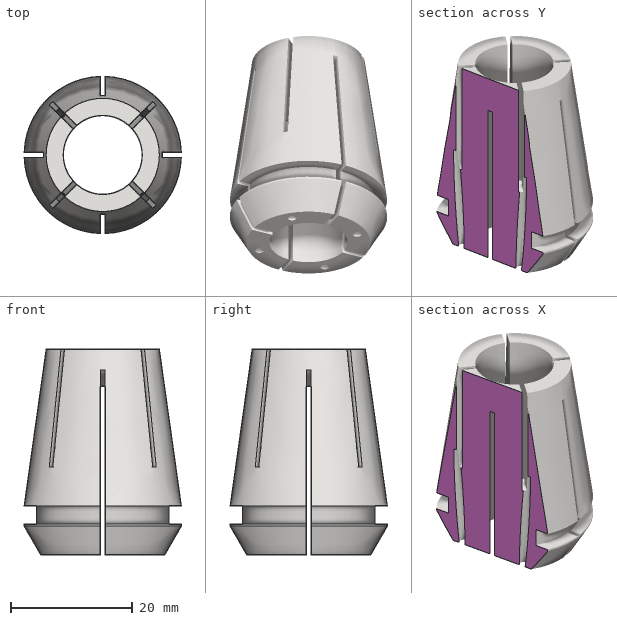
import cadquery as cq
import math

height = 34.0
outer_diameter = 25.98
bore_diameter = 13.0
flange_top = 5.05
lip_height = 0.3
flange_angle = 30.0
groove_diameter = 21.95
body_bottom = 8.1
body_angle = 8.0

slot_width = 0.8
saw_radius = 17.35
slot_count = 4
lower_slot_top = 30.53
lower_slot_tilt = 32.0
upper_slot_floor = 14.52
upper_slot_angle = 45.0

hole_diameter = 1.5
hole_radius_at_floor = 9.8
hole_lean = 5.0

clearance = 3.4

outer_radius = outer_diameter / 2
bore_radius = bore_diameter / 2
groove_radius = groove_diameter / 2


def body_radius(z):
    """Radius of the clamping cone at height z."""
    return outer_radius - (z - body_bottom) * math.tan(math.radians(body_angle))


def make_body():
    """Revolve the ring section: lower cone, lip, groove and clamping cone."""
    lip_bottom = flange_top - lip_height
    bottom_radius = outer_radius - lip_bottom * math.tan(math.radians(flange_angle))
    section = [
        (bore_radius, 0),
        (bottom_radius, 0),
        (outer_radius, lip_bottom),
        (outer_radius, flange_top),
        (groove_radius, flange_top),
        (groove_radius, body_bottom),
        (outer_radius, body_bottom),
        (body_radius(height), height),
        (bore_radius, height),
    ]
    return cq.Workplane("XZ").polyline(section).close().revolve(360, (0, 0), (0, 1))


def make_slot_cutter(center_r, center_z, direction):
    """Radial slab along +X, ended by the saw's arc and open upward (+1) or downward (-1)."""
    inner_r = bore_radius - clearance
    outer_r = outer_radius + clearance
    middle_r = (inner_r + outer_r) / 2
    open_z = height + clearance if direction > 0 else -clearance

    def on_arc(r):
        return (r, center_z - direction * math.sqrt(saw_radius**2 - (r - center_r) ** 2))

    return (
        cq.Workplane("XZ")
        .moveTo(inner_r, open_z)
        .lineTo(*on_arc(inner_r))
        .threePointArc(on_arc(middle_r), on_arc(outer_r))
        .lineTo(outer_r, open_z)
        .close()
        .extrude(slot_width / 2, both=True)
    )


def make_lower_slot():
    """Slot open at the bottom, its end sloping down toward the bore."""
    tilt = math.radians(lower_slot_tilt)
    center_r = body_radius(lower_slot_top) + saw_radius * math.sin(tilt)
    center_z = lower_slot_top - saw_radius * math.cos(tilt)
    return make_slot_cutter(center_r, center_z, -1)


def make_upper_slot():
    """Slot open at the top, its floor level at the clamping cone and rising toward the bore."""
    center_r = body_radius(upper_slot_floor)
    return make_slot_cutter(center_r, upper_slot_floor + saw_radius, 1)


def make_sloping_hole():
    """Round hole that leans toward the axis on its way down."""
    lean = math.radians(hole_lean)
    down = cq.Vector(-math.sin(lean), 0, -math.cos(lean))
    mouth = cq.Vector(hole_radius_at_floor, 0, upper_slot_floor)
    start = mouth - down * clearance
    length = upper_slot_floor / math.cos(lean) + 2 * clearance
    return cq.Workplane(cq.Solid.makeCylinder(hole_diameter / 2, length, start, down))


lower_slot = make_lower_slot()
upper_cut = make_upper_slot().union(make_sloping_hole())

result = make_body()
for index in range(slot_count):
    turn = index * 360 / slot_count
    result = result.cut(lower_slot.rotate((0, 0, 0), (0, 0, 1), turn))
    result = result.cut(upper_cut.rotate((0, 0, 0), (0, 0, 1), turn + upper_slot_angle))